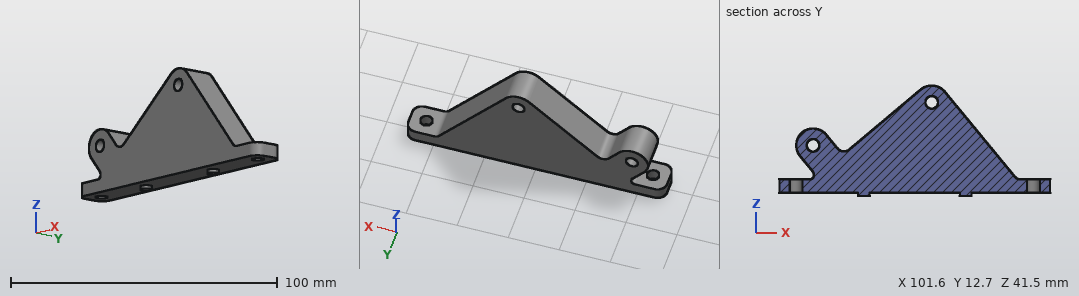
import cadquery as cq
import math

base_length = 101.6
width = 12.7
base_thickness = 5.08
corner_radius = 3.81

lobe_radius = 6.35
small_lobe_x = 12.7
small_lobe_z = 17.78
apex_x = 57.15
body_height = 40.23
apex_z = body_height - lobe_radius

small_lobe_slope = math.radians(50.5)
left_flank_slope = math.radians(40.0)
right_flank_slope = math.radians(50.5)

left_foot_lower_radius = 1.5
left_foot_upper_radius = 2.54
right_foot_radius = 2.4
valley_radius = 3.175

pivot_hole_diameter = 4.65
mounting_hole_diameter = 4.62
mounting_hole_inset = 6.35
peg_diameter = 4.45
peg_height = 1.27
peg_spacing = 38.1


def point_on_lobe(center_x, center_z, normal_angle):
    """Point on a lobe's rim in the direction normal_angle, counted from +X towards +Z."""
    return (
        center_x + lobe_radius * math.cos(normal_angle),
        center_z + lobe_radius * math.sin(normal_angle),
    )


def sloped_x(start, slope, z):
    """X at height z on the line through start with the given signed slope angle."""
    return start[0] + (z - start[1]) / math.tan(slope)


def line_crossing(first, first_slope, second, second_slope):
    """Crossing of two lines, each given by a point and a signed slope angle."""
    first_gradient = math.tan(first_slope)
    second_gradient = math.tan(second_slope)
    rise = second[1] - first[1] - second_gradient * (second[0] - first[0])
    run = rise / (first_gradient - second_gradient)
    return (first[0] + run, first[1] + first_gradient * run)


def fillet_edge_at(body, corner, radius):
    """Fillet the edge along Y that runs through the given (x, z) corner."""
    selector = cq.selectors.NearestToPointSelector((corner[0], 0, corner[1]))
    return body.edges("|Y").edges(selector).fillet(radius)


def make_body():
    """Base bar and web as one profile, extruded across the full width."""
    quarter_turn = math.pi / 2
    lobe_normal = quarter_turn - small_lobe_slope
    lobe_upper = point_on_lobe(small_lobe_x, small_lobe_z, lobe_normal)
    lobe_mid = point_on_lobe(small_lobe_x, small_lobe_z, lobe_normal + quarter_turn)
    lobe_lower = point_on_lobe(small_lobe_x, small_lobe_z, lobe_normal + math.pi)

    apex_left = point_on_lobe(apex_x, apex_z, quarter_turn + left_flank_slope)
    apex_top = (apex_x, body_height)
    apex_right = point_on_lobe(apex_x, apex_z, quarter_turn - right_flank_slope)

    foot_middle_z = base_thickness + left_foot_lower_radius
    foot_upper_z = foot_middle_z + left_foot_upper_radius * math.cos(small_lobe_slope)
    foot_upper = (sloped_x(lobe_lower, -small_lobe_slope, foot_upper_z), foot_upper_z)
    foot_depth = left_foot_upper_radius * (1 - math.sin(small_lobe_slope))
    foot_middle = (foot_upper[0] + foot_depth, foot_middle_z)
    foot_lower = (foot_middle[0] - left_foot_lower_radius, base_thickness)

    right_foot = (sloped_x(apex_right, -right_flank_slope, base_thickness), base_thickness)
    valley = line_crossing(lobe_upper, -small_lobe_slope, apex_left, left_flank_slope)

    body = (
        cq.Workplane("XZ")
        .moveTo(0, 0)
        .lineTo(0, base_thickness)
        .lineTo(*foot_lower)
        .tangentArcPoint(foot_middle, relative=False)
        .tangentArcPoint(foot_upper, relative=False)
        .lineTo(*lobe_lower)
        .threePointArc(lobe_mid, lobe_upper)
        .lineTo(*valley)
        .lineTo(*apex_left)
        .threePointArc(apex_top, apex_right)
        .lineTo(*right_foot)
        .lineTo(base_length, base_thickness)
        .lineTo(base_length, 0)
        .close()
        .extrude(width / 2, both=True)
    )
    body = fillet_edge_at(body, right_foot, right_foot_radius)
    return fillet_edge_at(body, valley, valley_radius)


def round_base_corners(body):
    """Round the four upright corners of the base bar."""
    return body.edges("|Z").fillet(corner_radius)


def pivot_holes():
    """Cutters along Y through both lobes."""
    centers = [(small_lobe_x, small_lobe_z), (apex_x, apex_z)]
    return (
        cq.Workplane("XZ")
        .pushPoints(centers)
        .circle(pivot_hole_diameter / 2)
        .extrude(width, both=True)
    )


def mounting_holes():
    """Cutters along Z through both ends of the base bar only."""
    centers = [(mounting_hole_inset, 0), (base_length - mounting_hole_inset, 0)]
    return (
        cq.Workplane("XY")
        .pushPoints(centers)
        .circle(mounting_hole_diameter / 2)
        .extrude(base_thickness)
    )


def pegs():
    """Locating pegs below the base, placed evenly about its middle."""
    middle = base_length / 2
    centers = [(middle - peg_spacing / 2, 0), (middle + peg_spacing / 2, 0)]
    return (
        cq.Workplane("XY")
        .pushPoints(centers)
        .circle(peg_diameter / 2)
        .extrude(-peg_height)
    )


body = round_base_corners(make_body())
result = body.cut(pivot_holes()).cut(mounting_holes()).union(pegs())